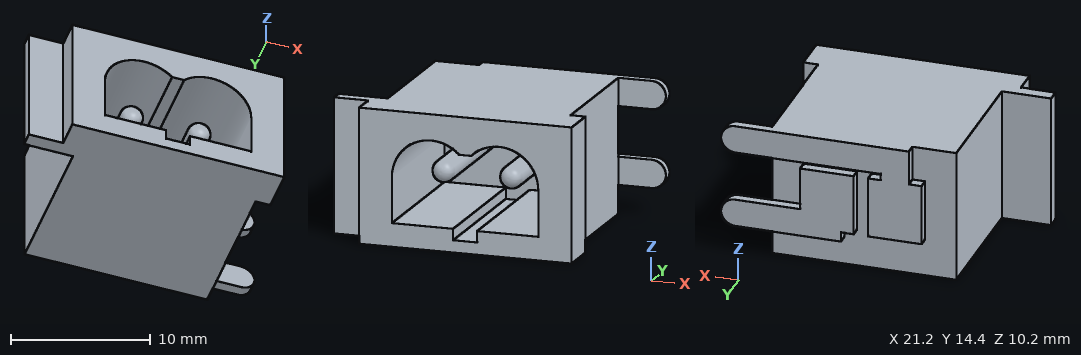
import cadquery as cq

height = 10.15

flange_left = 2.6
flange_right = 18.72
flange_depth = 3.03
ear_depth = 1.04

body_left = 3.7
body_right = 17.6
body_back = 13.53

pin_diameter = 1.7
pin_radius = pin_diameter / 2
pin_spacing = 5.13
pin_tip_y = 2.1
pin_tip_rounding = 0.75
pin_z = 5.22
socket_center_x = 10.65
left_pin_x = socket_center_x - pin_spacing / 2
right_pin_x = socket_center_x + pin_spacing / 2

lobe_radius = 2.99
saddle_z = 7.34
floor_z = 1.78
key_width = 1.82
key_bottom_z = 0.93
back_wall = 1.95
socket_depth = body_back - back_wall

terminal_thickness = 0.83
terminal_end_x = 21.2
strip_width = 2.12
lower_strip_bottom = 2.16
pad_width = 4.03
pad_height = 4.65


def box(x_min, x_max, y_min, y_max, z_min, z_max):
    """Box between the given limits."""
    size = (x_max - x_min, y_max - y_min, z_max - z_min)
    return cq.Workplane("XY").box(*size, centered=False).translate((x_min, y_min, z_min))


def make_housing():
    """Rear body, front flange and side ear, all of full height."""
    body = box(body_left, body_right, 0, body_back, 0, height)
    flange = box(flange_left, flange_right, 0, flange_depth, 0, height)
    ear = box(0, flange_left, flange_depth - ear_depth, flange_depth, 0, height)
    return body.union(flange).union(ear)


def make_socket():
    """Blind pocket with a two-lobed roof, a flat saddle and a key groove."""
    socket = box(left_pin_x, right_pin_x, 0, socket_depth, floor_z, saddle_z)
    for pin_x in (left_pin_x, right_pin_x):
        lobe = (
            cq.Workplane("XZ")
            .center(pin_x, pin_z)
            .circle(lobe_radius)
            .extrude(-socket_depth)
        )
        side = box(pin_x - lobe_radius, pin_x + lobe_radius, 0, socket_depth, floor_z, pin_z)
        socket = socket.union(lobe).union(side)
    key_left = socket_center_x - key_width / 2
    key = box(key_left, key_left + key_width, 0, socket_depth, key_bottom_z, floor_z)
    return socket.union(key)


def make_pin(pin_x):
    """Round pin rooted in the back wall; the rounded tip keeps a small flat at its centre."""
    return (
        cq.Workplane("XZ", origin=(pin_x, pin_tip_y, pin_z))
        .circle(pin_radius)
        .extrude(-(body_back - pin_tip_y))
        .faces("<Y")
        .edges()
        .fillet(pin_tip_rounding)
    )


def make_terminal(pin_x, strip_bottom):
    """Flat terminal: pad behind the pin, leg to the strip, strip with a round end."""
    back = body_back + terminal_thickness
    strip_center_z = strip_bottom + strip_width / 2
    end_center_x = terminal_end_x - strip_width / 2
    leg_left = pin_x - strip_width / 2
    pad = box(
        pin_x - pad_width / 2, pin_x + pad_width / 2,
        body_back, back,
        pin_z - pad_height / 2, pin_z + pad_height / 2,
    )
    leg = box(
        leg_left, leg_left + strip_width,
        body_back, back,
        min(pin_z, strip_bottom), max(pin_z, strip_bottom + strip_width),
    )
    strip = box(leg_left, end_center_x, body_back, back, strip_bottom, strip_bottom + strip_width)
    round_end = (
        cq.Workplane("XZ", origin=(end_center_x, body_back, strip_center_z))
        .circle(strip_width / 2)
        .extrude(-terminal_thickness)
    )
    return pad.union(leg).union(strip).union(round_end)


result = make_housing().cut(make_socket())
for contact_x, contact_strip_bottom in (
    (left_pin_x, height - strip_width),
    (right_pin_x, lower_strip_bottom),
):
    result = result.union(make_pin(contact_x))
    result = result.union(make_terminal(contact_x, contact_strip_bottom))